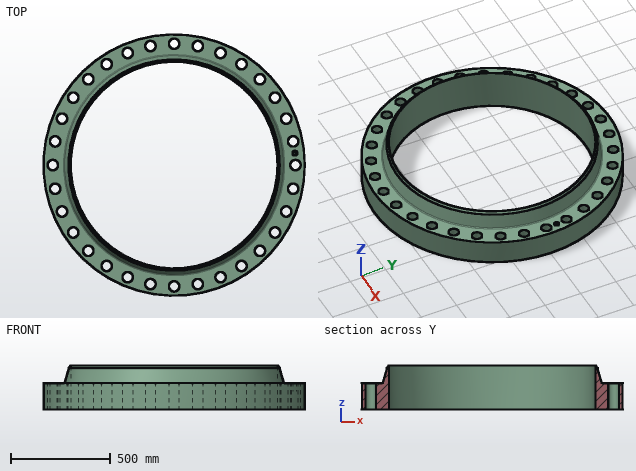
import cadquery as cq
import math

flange_diameter = 1320.0
flange_thickness = 135.0
bore_diameter = 1043.0

total_height = 223.0
hub_base_diameter = 1109.0
rim_land_width = 2.0
bevel_height = 13.0
bevel_angle = 37.5
straight_collar_height = 4.0
hub_root_fillet = 5.0

bolt_count = 32
bolt_circle_diameter = 1225.0
bolt_hole_diameter = 51.0

blind_hole_diameter = 17.0
blind_hole_mouth_diameter = 25.0
blind_hole_depth = 40.0
drill_point_angle = 118.0

bolt_pitch_angle = 360.0 / bolt_count


def ring_body():
    """Flange and hub turned from one half-section about the Z axis."""
    bore_radius = bore_diameter / 2
    rim_radius = bore_radius + rim_land_width
    collar_radius = rim_radius + bevel_height * math.tan(math.radians(bevel_angle))
    bevel_start = total_height - bevel_height
    collar_start = bevel_start - straight_collar_height
    section = (
        cq.Workplane("XZ")
        .moveTo(bore_radius, 0)
        .lineTo(flange_diameter / 2, 0)
        .lineTo(flange_diameter / 2, flange_thickness)
        .lineTo(hub_base_diameter / 2, flange_thickness)
        .lineTo(collar_radius, collar_start)
        .lineTo(collar_radius, bevel_start)
        .lineTo(rim_radius, total_height)
        .lineTo(bore_radius, total_height)
        .close()
    )
    body = section.revolve(360, (0, 0, 0), (0, 1, 0))
    hub_root = cq.selectors.RadiusNthSelector(-2)
    return body.edges(hub_root).fillet(hub_root_fillet)


def bolt_holes():
    """Through-hole cutters spaced evenly on the bolt circle."""
    return (
        cq.Workplane("XY")
        .polarArray(bolt_circle_diameter / 2, 0, 360, bolt_count)
        .circle(bolt_hole_diameter / 2)
        .extrude(flange_thickness)
    )


def blind_hole():
    """Cutter for the countersunk blind hole sunk into the flange's top face."""
    radius = blind_hole_diameter / 2
    mouth_radius = blind_hole_mouth_diameter / 2
    countersink_depth = mouth_radius - radius
    point_height = radius / math.tan(math.radians(drill_point_angle / 2))
    cutter = (
        cq.Workplane("XZ")
        .moveTo(0, 0)
        .lineTo(mouth_radius, 0)
        .lineTo(radius, -countersink_depth)
        .lineTo(radius, -blind_hole_depth)
        .lineTo(0, -blind_hole_depth - point_height)
        .close()
        .revolve(360, (0, 0, 0), (0, 1, 0))
    )
    placed = cutter.translate((bolt_circle_diameter / 2, 0, flange_thickness))
    return placed.rotate((0, 0, 0), (0, 0, 1), bolt_pitch_angle / 2)


result = ring_body().cut(bolt_holes()).cut(blind_hole())